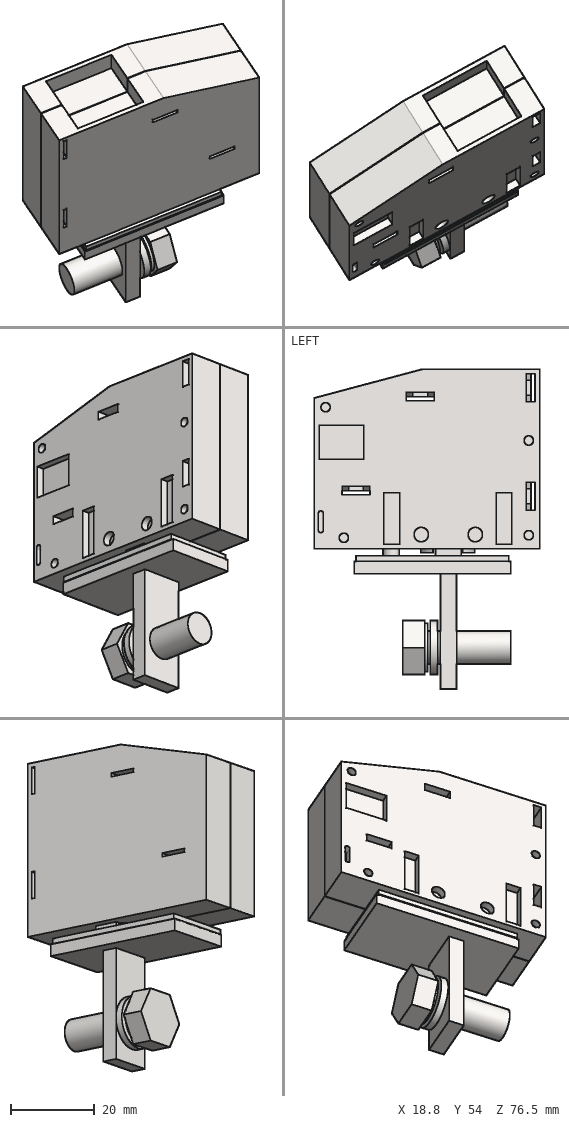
import cadquery as cq
import math


HOUSING_WIDTH = 18.8
HOUSING_LENGTH = 54.0
HOUSING_FRONT_Y = -21.9
HOUSING_BACK_Y = HOUSING_FRONT_Y + HOUSING_LENGTH
HOUSING_BOTTOM_Z = 33.5
HOUSING_TOP_Z = 76.5
SLOPE_START_Y = 6.3
SHOULDER_Z = 69.6
SEAM_GAP = 0.15
HALF_WIDTH = (HOUSING_WIDTH - SEAM_GAP) / 2
INNER_FACE_X = SEAM_GAP / 2
LEFT_FACE_X = -HOUSING_WIDTH / 2

WINDOW_WIDTH = 16.45
WINDOW_FRONT_Y = -16.2
WINDOW_LENGTH = 17.7
WINDOW_DEPTH = 5.05

RECESS_DEPTH = 2.0
LABEL_LENGTH = 10.7
LABEL_HEIGHT = 8.1
LABEL_CENTRE = (25.55, 59.05)
RAIL_LENGTH = 3.75
RAIL_HEIGHT = 12.3
RAIL_CENTRES = [(13.55, 40.8), (-13.3, 40.8)]
OBLONG_LENGTH = 5.2
OBLONG_WIDTH = 1.2
OBLONG_CENTRE = (30.5, 40.0)
SCREW_HOLE_DIAMETER = 2.2
SCREW_HOLE_CENTRES = [(29.4, 67.4), (25.0, 36.2), (-19.2, 59.45), (-19.2, 36.8)]
DOWEL_HOLE_DIAMETER = 3.45
DOWEL_HOLE_CENTRES = [(6.5, 36.95), (-6.4, 36.95)]

SNAP_LENGTH = 6.65
SNAP_WIDTH = 2.1
LEDGE_WIDTH = 1.15
LEDGE_RAMP_DEPTH = 2 * LEDGE_WIDTH
LEDGE_TONGUE = 3.5
LYING_SNAP_CENTRES = [(6.7, 70.0), (22.1, 47.5)]
STANDING_SNAP_CENTRES = [(-19.65, 72.1), (-19.65, 46.1)]

PLATE_WIDTH = 18.3
PLATE_LENGTH = 37.5
PLATE_CENTRE_X = HOUSING_WIDTH / 2 - PLATE_WIDTH / 2
FLANGE_CENTRE_Y = 3.8
PLATE_BOTTOM_Z = 27.55
PLATE_TOP_Z = 30.5
BAR_WIDTH = 11.3
BAR_THICKNESS = 3.9

GASKET_WIDTH = 18.3
GASKET_LENGTH = 36.6
GASKET_TOP_Z = 31.9
NECK_WIDTH = 14.15
NECK_THICKNESS = 6.2
PIN_DIAMETER = 4.0
PIN_Y = 13.7
COLLAR_DIAMETER = 13.0
COLLAR_Y = 0.15
COLLAR_SLOT = 6.95
COLLAR_DROP = 0.9
COLLAR_SEAT_DEPTH = 1.5

BOLT_Z = 9.95
SHANK_DIAMETER = 7.95
SHANK_END_Y = -14.9
HEAD_ACROSS_FLATS = 13.0
HEAD_FACE_Y = 5.65
HEAD_HEIGHT = 5.3
SPRING_WASHER_DIAMETER = 11.6
SPRING_WASHER_THICKNESS = 0.8
FLAT_WASHER_DIAMETER = 13.0
FLAT_WASHER_THICKNESS = 1.75
FLAT_WASHER_Y = 2.6


def box(width, length, height, centre_x, centre_y, bottom_z):
    """Upright box placed by the centre of its base."""
    base = cq.Workplane("XY", origin=(centre_x, centre_y, bottom_z))
    return base.rect(width, length).extrude(height)


def side_plane(x):
    """Sketch plane facing +X, with Y to the right and Z up."""
    return cq.Workplane("YZ", origin=(x, 0, 0))


def disc_along_y(diameter, start_y, length):
    """Cylinder on the bolt axis, running from start_y towards +Y."""
    plane = cq.Plane(origin=(0, start_y, BOLT_Z), xDir=(1, 0, 0), normal=(0, 1, 0))
    return cq.Workplane(plane).circle(diameter / 2).extrude(length)


def collar_cylinder(bottom_z):
    """Round collar up to the end of its seat in the housing."""
    height = HOUSING_BOTTOM_Z + COLLAR_SEAT_DEPTH - bottom_z
    return cq.Workplane("XY", origin=(0, COLLAR_Y, bottom_z)).circle(COLLAR_DIAMETER / 2).extrude(height)


def housing_shell(start_x):
    """Half of the housing with its share of the window, the collar seat and the snap slots."""
    outline = [
        (HOUSING_FRONT_Y, HOUSING_BOTTOM_Z),
        (HOUSING_BACK_Y, HOUSING_BOTTOM_Z),
        (HOUSING_BACK_Y, SHOULDER_Z),
        (SLOPE_START_Y, HOUSING_TOP_Z),
        (HOUSING_FRONT_Y, HOUSING_TOP_Z),
    ]
    shell = side_plane(start_x).polyline(outline).close().extrude(HALF_WIDTH)
    window_centre_y = WINDOW_FRONT_Y + WINDOW_LENGTH / 2
    window_floor_z = HOUSING_TOP_Z - WINDOW_DEPTH
    window = box(WINDOW_WIDTH, WINDOW_LENGTH, WINDOW_DEPTH, 0, window_centre_y, window_floor_z)
    lying = side_plane(start_x).pushPoints(LYING_SNAP_CENTRES).rect(SNAP_LENGTH, SNAP_WIDTH)
    standing = side_plane(start_x).pushPoints(STANDING_SNAP_CENTRES).rect(SNAP_WIDTH, SNAP_LENGTH)
    shell = shell.cut(window).cut(collar_cylinder(HOUSING_BOTTOM_Z))
    return shell.cut(lying.extrude(HALF_WIDTH)).cut(standing.extrude(HALF_WIDTH))


def left_housing():
    """Left half with the recesses in its outer face."""
    recesses = [
        side_plane(LEFT_FACE_X).center(*LABEL_CENTRE).rect(LABEL_LENGTH, LABEL_HEIGHT),
        side_plane(LEFT_FACE_X).pushPoints(RAIL_CENTRES).rect(RAIL_LENGTH, RAIL_HEIGHT),
        side_plane(LEFT_FACE_X).center(*OBLONG_CENTRE).slot2D(OBLONG_LENGTH, OBLONG_WIDTH, 90),
        side_plane(LEFT_FACE_X).pushPoints(SCREW_HOLE_CENTRES).circle(SCREW_HOLE_DIAMETER / 2),
        side_plane(LEFT_FACE_X).pushPoints(DOWEL_HOLE_CENTRES).circle(DOWEL_HOLE_DIAMETER / 2),
    ]
    half = housing_shell(LEFT_FACE_X)
    for recess in recesses:
        half = half.cut(recess.extrude(RECESS_DEPTH))
    return half


def snap_ledge(centre, turn):
    """Ledge along the upper side of a slot, turned about the slot centre: a flat-faced tongue
    between two ends that slope back from the inner face."""
    ledge_top = SNAP_WIDTH / 2
    ledge_bottom = ledge_top - LEDGE_WIDTH
    ramp = [
        (0, ledge_top),
        (LEDGE_RAMP_DEPTH, ledge_bottom),
        (HALF_WIDTH, ledge_bottom),
        (HALF_WIDTH, ledge_top),
    ]
    sloped = cq.Workplane("XZ").polyline(ramp).close().extrude(SNAP_LENGTH / 2, both=True)
    tongue = box(HALF_WIDTH, LEDGE_TONGUE, LEDGE_WIDTH, HALF_WIDTH / 2, 0, ledge_bottom)
    ledge = sloped.union(tongue).rotate((0, 0, 0), (1, 0, 0), turn)
    return ledge.translate((INNER_FACE_X, *centre))


def right_housing():
    """Right half with a ledge in each snap slot, at the upper or the back side of the slot."""
    half = housing_shell(INNER_FACE_X)
    for centre in LYING_SNAP_CENTRES:
        half = half.union(snap_ledge(centre, 0))
    for centre in STANDING_SNAP_CENTRES:
        half = half.union(snap_ledge(centre, -90))
    return half


def insulator():
    """Gasket with the neck, the guide pin and the collar that sits in the housing."""
    gasket = box(GASKET_WIDTH, GASKET_LENGTH, GASKET_TOP_Z - PLATE_TOP_Z, 0, FLANGE_CENTRE_Y, PLATE_TOP_Z)
    gap = HOUSING_BOTTOM_Z - GASKET_TOP_Z
    neck = box(NECK_WIDTH, NECK_THICKNESS, gap, 0, 0, GASKET_TOP_Z)
    pin = cq.Workplane("XY", origin=(0, PIN_Y, GASKET_TOP_Z)).circle(PIN_DIAMETER / 2).extrude(gap)
    collar_bottom_z = HOUSING_BOTTOM_Z - COLLAR_DROP
    slot = box(COLLAR_DIAMETER, COLLAR_SLOT, COLLAR_DROP, 0, COLLAR_Y, collar_bottom_z)
    collar = collar_cylinder(collar_bottom_z).cut(slot)
    return gasket.union(neck).union(pin).union(collar)


def terminal():
    """Cover plate and hanging bar, with the bolt hole through the bar."""
    thickness = PLATE_TOP_Z - PLATE_BOTTOM_Z
    plate = box(PLATE_WIDTH, PLATE_LENGTH, thickness, PLATE_CENTRE_X, FLANGE_CENTRE_Y, PLATE_BOTTOM_Z)
    bar = box(BAR_WIDTH, BAR_THICKNESS, PLATE_BOTTOM_Z, 0, 0, 0)
    bolt_hole = disc_along_y(SHANK_DIAMETER, -BAR_THICKNESS / 2, BAR_THICKNESS)
    return plate.union(bar).cut(bolt_hole)


def bolt():
    """Hexagon bolt along Y with corners to the sides, a spring washer and a flat washer."""
    across_corners = HEAD_ACROSS_FLATS / math.cos(math.pi / 6)
    head_plane = cq.Plane(origin=(0, HEAD_FACE_Y, BOLT_Z), xDir=(1, 0, 0), normal=(0, 1, 0))
    head = cq.Workplane(head_plane).polygon(6, across_corners).extrude(HEAD_HEIGHT)
    shank = disc_along_y(SHANK_DIAMETER, SHANK_END_Y, HEAD_FACE_Y - SHANK_END_Y)
    spring_washer_y = HEAD_FACE_Y - SPRING_WASHER_THICKNESS
    spring_washer = disc_along_y(SPRING_WASHER_DIAMETER, spring_washer_y, SPRING_WASHER_THICKNESS)
    flat_washer = disc_along_y(FLAT_WASHER_DIAMETER, FLAT_WASHER_Y, FLAT_WASHER_THICKNESS)
    return head.union(shank).union(spring_washer).union(flat_washer)


bodies = [left_housing(), right_housing(), insulator(), terminal(), bolt()]
result = cq.Compound.makeCompound([body.solids().val() for body in bodies])